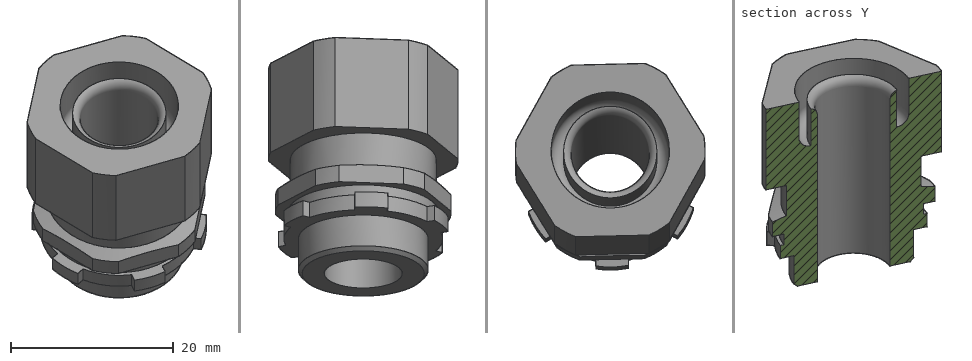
import cadquery as cq
import math

total_height = 26.8
washer_bottom = 4.55
washer_top = 6.55
nut_bottom = 8.0
nut_top = 10.67
head_bottom = 15.0

thread_radius = 7.99
thread_chamfer = 0.48
collar_radius = 9.3
neck_radius = 8.98

head_across_flats = 21.5
head_corner_radius = 11.65
nut_across_flats = 20.1
nut_corner_radius = 10.8
nut_bevel_angle = 15.0

washer_radius = 9.75
tooth_tip_radius = 10.72
tooth_width = 4.05
tooth_count = 6

bore_radius = 4.8
lip_radius = 5.74
lip_top = 25.45
lip_round = 1.18
mouth_radius = 7.25
mouth_floor = 20.1


def cylinder(radius, bottom, top):
    return cq.Workplane("XY").workplane(offset=bottom).circle(radius).extrude(top - bottom)


def hexagon(across_flats, bottom, top):
    """Hexagonal prism with two flats square to Y."""
    across_corners = across_flats / math.cos(math.radians(30))
    return cq.Workplane("XY").workplane(offset=bottom).polygon(6, across_corners).extrude(top - bottom)


def body():
    thread = cylinder(thread_radius, 0, nut_bottom).faces("<Z").chamfer(thread_chamfer)
    collar = cylinder(collar_radius, washer_top, nut_bottom)
    neck = cylinder(neck_radius, nut_bottom, head_bottom)
    return thread.union(collar).union(neck)


def head():
    corner_limit = cylinder(head_corner_radius, head_bottom, total_height)
    return hexagon(head_across_flats, head_bottom, total_height).intersect(corner_limit)


def locknut():
    bevel_width = nut_corner_radius - neck_radius
    bevel_drop = bevel_width * math.tan(math.radians(nut_bevel_angle))
    bevelled_blank = (
        cq.Workplane("XZ")
        .moveTo(0, nut_bottom)
        .lineTo(nut_corner_radius, nut_bottom)
        .lineTo(nut_corner_radius, nut_top - bevel_drop)
        .lineTo(neck_radius, nut_top)
        .lineTo(0, nut_top)
        .close()
        .revolve(360, (0, 0, 0), (0, 1, 0))
    )
    return hexagon(nut_across_flats, nut_bottom, nut_top).intersect(bevelled_blank)


def toothed_washer():
    thickness = washer_top - washer_bottom
    washer = cylinder(washer_radius, washer_bottom, washer_top)
    tooth_limit = cylinder(tooth_tip_radius, washer_bottom, washer_top)
    bar = (
        cq.Workplane("XY")
        .workplane(offset=washer_bottom)
        .rect(tooth_width, 2 * tooth_tip_radius)
        .extrude(thickness)
        .intersect(tooth_limit)
    )
    for i in range(tooth_count // 2):
        washer = washer.union(bar.rotate((0, 0, 0), (0, 0, 1), i * 360 / tooth_count))
    return washer


def bore():
    """Through bore, rounded lip and the round-bottomed groove outside the lip."""
    end_angle = math.acos((bore_radius + lip_round - lip_radius) / lip_round)
    lip_center_x = bore_radius + lip_round
    lip_center_z = lip_top - lip_round * math.sin(end_angle)
    groove_round = mouth_radius - lip_radius
    diagonal = math.sqrt(0.5)
    lip_middle = (
        lip_center_x - lip_round * math.cos(end_angle / 2),
        lip_center_z + lip_round * math.sin(end_angle / 2),
    )
    groove_middle = (
        lip_radius + groove_round * diagonal,
        mouth_floor + groove_round * (1 - diagonal),
    )
    return (
        cq.Workplane("XZ")
        .lineTo(bore_radius, 0)
        .lineTo(bore_radius, lip_center_z)
        .threePointArc(lip_middle, (lip_radius, lip_top))
        .lineTo(lip_radius, mouth_floor)
        .threePointArc(groove_middle, (mouth_radius, mouth_floor + groove_round))
        .lineTo(mouth_radius, total_height)
        .lineTo(0, total_height)
        .close()
        .revolve(360, (0, 0, 0), (0, 1, 0))
    )


result = body().union(head()).union(locknut()).union(toothed_washer()).cut(bore())